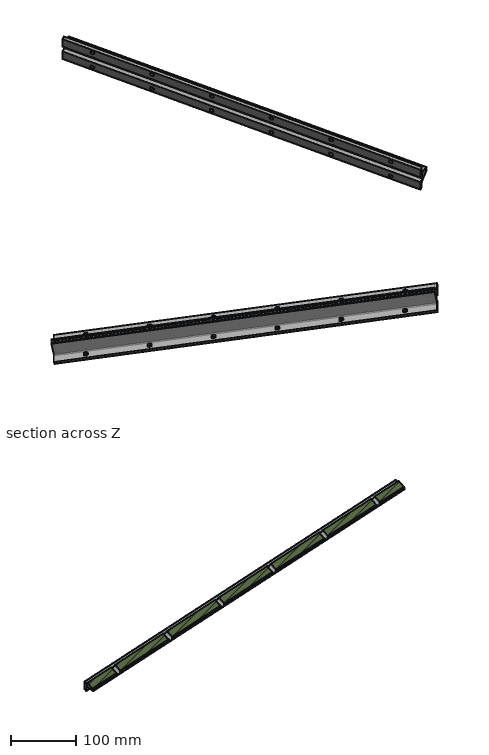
import cadquery as cq

length = 599.5
depth = 23.0
height = 52.0

flange_thickness = 5.5
front_groove_depth = 7.0
front_groove_width = 12.5
wedge_root_width = 25.0
wedge_tip_width = 9.0
wedge_root_fillet = 2.0
back_groove_depth = 2.0
back_groove_width = 5.0

hole_count = 6
hole_pitch = length / hole_count
hole_diameter = 6.5
hole_row_spacing = 18.5


def rail_body():
    """Two flat flanges joined by a wedge that tapers toward +Y, with filleted roots."""
    upper_half = [
        (front_groove_depth, front_groove_width / 2),
        (0, front_groove_width / 2),
        (0, height / 2),
        (flange_thickness, height / 2),
        (flange_thickness, wedge_root_width / 2),
        (depth, wedge_tip_width / 2),
        (depth, back_groove_width / 2),
        (depth - back_groove_depth, back_groove_width / 2),
    ]
    lower_half = [(y, -z) for y, z in reversed(upper_half)]
    profile = cq.Workplane("YZ").polyline(upper_half + lower_half).close()
    body = profile.extrude(length / 2, both=True)
    for side in (1, -1):
        root_point = (0, flange_thickness, side * wedge_root_width / 2)
        root_edge = cq.selectors.NearestToPointSelector(root_point)
        body = body.edges(root_edge).fillet(wedge_root_fillet)
    return body


def hole_cutters():
    """Rows on both flanges and along the middle of the wedge."""
    grid = cq.Workplane("XZ").rarray(hole_pitch, hole_row_spacing, hole_count, 3)
    return grid.circle(hole_diameter / 2).extrude(-depth)


result = rail_body().cut(hole_cutters())